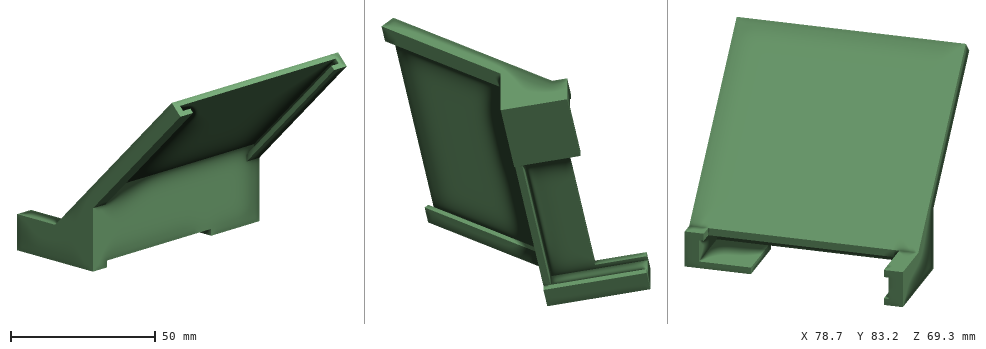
import cadquery as cq
import math

length = 78.7
width = 83.2
height = 69.35

base_depth = 36.5
base_height = 13.1
plate_thickness = 5.9
plate_offset = plate_thickness / math.sqrt(2)
tip_x = length - plate_offset
toe_x = tip_x - (height - base_height)
underside_z = height - plate_offset - (length - base_depth)

floor_thickness = 2.5
tray_top = 10.5
tray_side_wall = 5.2
back_wall = 2.5
lip_width = 6.9
short_leg_x = 13.0
floor_tab_width = 24.0

skin_thickness = 2.0
groove_depth = 2.1
groove_side_wall = 2.7
groove_lip_width = 6.3


def block(x_range, y_range, z_range):
    """Box spanning the given (start, end) ranges."""
    (x0, x1), (y0, y1), (z0, z1) = x_range, y_range, z_range
    return cq.Workplane("XY").box(x1 - x0, y1 - y0, z1 - z0, centered=False).translate((x0, y0, z0))


def extrude_across(points, across):
    """XZ outline extruded symmetrically about Y = 0."""
    return cq.Workplane("XZ").polyline(points).close().extrude(across / 2, both=True)


def plate_layer(near, far, across):
    """Layer of the overhanging plate between two depths below its upper face, behind the base."""
    near_shift = near / math.sqrt(2)
    far_shift = far / math.sqrt(2)
    upper_start_z = base_height + base_depth - toe_x
    near_start_z = upper_start_z - 2 * near_shift
    far_start_z = upper_start_z - 2 * far_shift
    points = [
        (base_depth, near_start_z),
        (tip_x + near_shift, height - near_shift),
        (tip_x + far_shift, height - far_shift),
        (base_depth, far_start_z),
    ]
    return extrude_across(points, across)


def solid_body():
    """Base block with the sloping plate, before hollowing."""
    points = [
        (0, 0),
        (base_depth, 0),
        (base_depth, underside_z),
        (length, height - plate_offset),
        (tip_x, height),
        (toe_x, base_height),
        (0, base_height),
    ]
    return extrude_across(points, width)


half = width / 2
lip_edge = half - lip_width
tray_edge = half - tray_side_wall

tray = block((0, base_depth - back_wall), (-tray_edge, tray_edge), (floor_thickness, tray_top))
top_gap = block((0, toe_x), (-lip_edge, lip_edge), (tray_top, base_height))

floor_gap = block((0, base_depth), (-lip_edge, half - floor_tab_width), (0, floor_thickness))

leg_cut = block((0, short_leg_x), (0, half), (0, base_height))

groove_bottom = skin_thickness + groove_depth
groove = plate_layer(skin_thickness, groove_bottom, width - 2 * groove_side_wall)
groove_mouth = plate_layer(groove_bottom, plate_thickness, width - 2 * groove_lip_width)

result = solid_body()
for cut in (tray, top_gap, floor_gap, leg_cut, groove, groove_mouth):
    result = result.cut(cut)